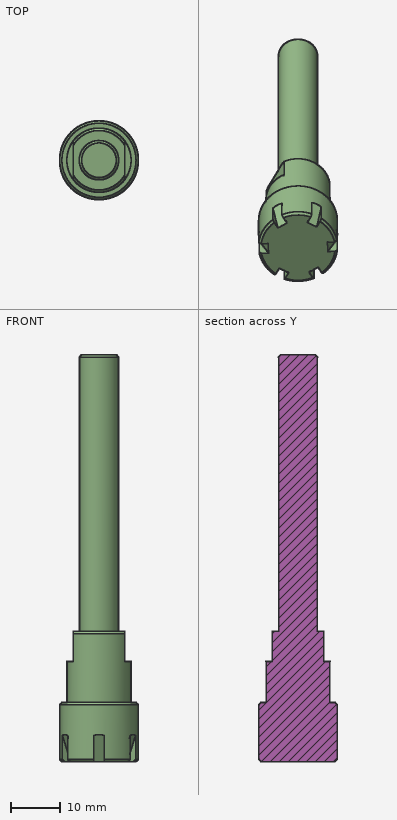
import cadquery as cq
import math

total_length = 82.5
nut_diameter = 16.0
nut_height = 12.05
nut_chamfer = 0.5
neck_diameter = 13.0
neck_top = 26.5
neck_chamfer = 0.5
shank_diameter = 8.0
shank_chamfer = 0.5

flats_width = 10.5
flats_bottom = 20.4

slot_count = 6
slot_width = 2.15
slot_height = 5.5
slot_floor_angle = 20.0
first_slot_angle = 90.0


def make_cylinder(diameter, bottom, top):
    """Vertical cylinder on the Z axis between two heights."""
    return cq.Workplane("XY", origin=(0, 0, bottom)).circle(diameter / 2).extrude(top - bottom)


def make_neck():
    """Chamfered neck with a pair of parallel wrench flats at its upper end."""
    neck = make_cylinder(neck_diameter, nut_height, neck_top).faces(">Z").chamfer(neck_chamfer)
    flats_height = neck_top - flats_bottom
    flat_depth = (neck_diameter - flats_width) / 2
    for side in (-1, 1):
        waste = cq.Workplane("XY").box(flat_depth, neck_diameter, flats_height, centered=(True, True, False))
        neck = neck.cut(waste.translate((side * (flats_width + flat_depth) / 2, 0, flats_bottom)))
    return neck


def make_slot_cutter():
    """Wedge on the +X side whose sloping floor runs deeper toward the bottom."""
    outer_radius = nut_diameter / 2
    floor_radius = outer_radius - slot_height * math.tan(math.radians(slot_floor_angle))
    return (
        cq.Workplane("XZ")
        .polyline([(floor_radius, 0), (outer_radius, 0), (outer_radius, slot_height)])
        .close()
        .extrude(slot_width / 2, both=True)
    )


def make_nut():
    """Nut chamfered at both rims, with evenly spaced spanner slots."""
    nut = make_cylinder(nut_diameter, 0, nut_height).faces("<Z or >Z").chamfer(nut_chamfer)
    cutter = make_slot_cutter()
    for index in range(slot_count):
        angle = first_slot_angle + index * 360 / slot_count
        nut = nut.cut(cutter.rotate((0, 0, 0), (0, 0, 1), angle))
    return nut


shank = make_cylinder(shank_diameter, neck_top, total_length).faces(">Z").chamfer(shank_chamfer)
result = make_nut().union(make_neck()).union(shank)